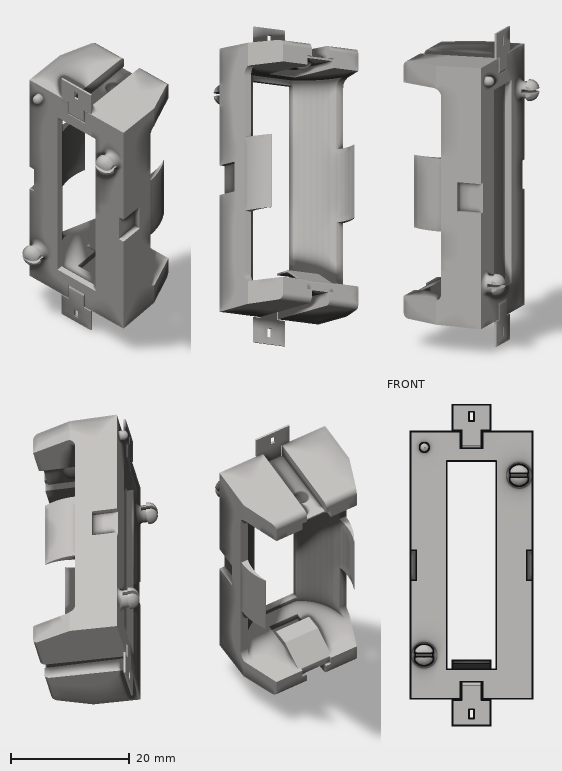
import cadquery as cq
import math

length = 54.2
width = 20.65
half_width = width / 2

depth = 14.9
rail_depth = 7.15
front_half_length = 22.6
back_half_length = 22.3
cell_half_length = 18.5
arm_root_radius = 1.5
arm_tip_radius = 1.0
taper_start = 8.15
taper_angle = 20.0

cell_axis = 9.4
trough_radius = 9.2
floor_depth = 1.1
window_half_width = 4.2
window_half_length = 17.55

clip_half_length = 6.3
clip_tip = 12.7
clip_overlap = 1.1
clip_radius = 10.2
clip_center = 7.3

side_notch_length = 5.1
side_notch_width = 1.05
side_notch_depth = 4.3

sheet = 0.3
contact_outer = 20.05
contact_inner = contact_outer - sheet
contact_end = 14.4
bend_radius = 0.55
channel_width = 3.75
stem_width = 3.35
tab_front = -0.1
tab_width = 6.45
tab_start = 22.75
tab_hole_width = 0.8
tab_hole_length = 1.5
tab_hole_center = 25.15
pocket_start = 3.7
pocket_width = 5.55

dimple_center = 9.7
dimple_radius = 1.3
dimple_depth = 1.1
dimple_lip_radius = 0.25

spring_crest_depth = 9.75
spring_crest = -16.25
spring_tail_depth = 6.9
spring_tail = -16.4
spring_root = -18.7

peg_x = 8.0
peg_z = 15.2
peg_neck_radius = 1.45
peg_root_radius = 0.7
peg_neck_end = 1.7
peg_head_radius = 1.85
peg_dome_radius = 1.45
peg_length = 3.35
peg_flat_width = 3.2
peg_slot_width = 0.65
peg_slot_start = 0.8

pin_x = -7.95
pin_z = 19.9
pin_radius = 0.8
pin_length = 1.45
pin_dome_radius = 0.75


def block(x_size, y_range, z_range):
    """Box centred on x = 0 that spans the given Y and Z ranges."""
    y_size = y_range[1] - y_range[0]
    z_size = z_range[1] - z_range[0]
    box = cq.Workplane("XY").box(x_size, y_size, z_size, centered=(True, False, False))
    return box.translate((0, y_range[0], z_range[0]))


def z_cylinder(radius, center_y, half_length):
    """Cylinder along Z, centred on z = 0."""
    return cq.Workplane("XY").center(0, center_y).circle(radius).extrude(half_length, both=True)


def both_ends(shape):
    """The shape at the upper end together with its mirror image at the lower end."""
    return shape.union(shape.mirror("XY"))


def make_body():
    side = (
        cq.Workplane("YZ")
        .moveTo(0, -front_half_length)
        .lineTo(depth, -back_half_length)
        .lineTo(depth, -cell_half_length)
        .lineTo(rail_depth, -cell_half_length)
        .lineTo(rail_depth, cell_half_length)
        .lineTo(depth, cell_half_length)
        .lineTo(depth, back_half_length)
        .lineTo(0, front_half_length)
        .close()
        .extrude(half_width, both=True)
    )
    margin = arm_root_radius / 2
    arm_roots = cq.selectors.BoxSelector(
        (-width, rail_depth - margin, -cell_half_length - margin),
        (width, rail_depth + margin, cell_half_length + margin),
    )
    side = side.edges("|X").edges(arm_roots).fillet(arm_root_radius)
    side = side.faces(">Y").edges("|X").edges(">Z or <Z").fillet(arm_tip_radius)

    back_half_width = half_width - (depth - taper_start) * math.tan(math.radians(taper_angle))
    plan = (
        cq.Workplane("XY")
        .moveTo(-half_width, 0)
        .lineTo(half_width, 0)
        .lineTo(half_width, taper_start)
        .lineTo(back_half_width, depth)
        .lineTo(-back_half_width, depth)
        .lineTo(-half_width, taper_start)
        .close()
        .extrude(front_half_length, both=True)
    )
    return side.intersect(plan)


def make_clips():
    """Crescent walls that carry on from the rails around the cell."""
    z_range = (-clip_half_length, clip_half_length)
    outer = z_cylinder(clip_radius, clip_center, clip_half_length)
    return outer.intersect(block(width, (rail_depth - clip_overlap, clip_tip), z_range))


def make_trough():
    trough = z_cylinder(trough_radius, cell_axis, cell_half_length)
    trough = trough.cut(block(width, (0, floor_depth), (-cell_half_length, cell_half_length)))
    z_range = (-window_half_length, window_half_length)
    return trough.union(block(2 * window_half_width, (0, cell_axis), z_range))


def make_side_notches():
    z_range = (-side_notch_length / 2, side_notch_length / 2)
    across = block(width, (0, side_notch_depth), z_range)
    core = block(width - 2 * side_notch_width, (0, side_notch_depth), z_range)
    return across.cut(core)


def make_contact_recess():
    """Outer channel, inner pocket, back gap and front notch around the upper contact."""
    channel = block(channel_width, (0, depth), (contact_outer, front_half_length))
    pocket = block(pocket_width, (pocket_start, depth), (cell_half_length, contact_inner))
    back_gap = block(pocket_width, (contact_end, depth), (cell_half_length, contact_outer))
    front_notch = block(channel_width, (0, tab_front + bend_radius), (contact_inner, contact_outer))
    return channel.union(pocket).union(back_gap).union(front_notch)


def make_tab():
    """Solder tab, its stem and the bend where the stem turns into the upper arm."""
    tab_back = tab_front + sheet
    tab = block(tab_width, (tab_front, tab_back), (tab_start, length / 2))
    half_hole = tab_hole_length / 2
    hole_range = (tab_hole_center - half_hole, tab_hole_center + half_hole)
    hole = block(tab_hole_width, (tab_front, tab_back), hole_range)
    stem = block(stem_width, (tab_front, tab_back), (contact_inner, tab_start))
    leg_range = (tab_front, tab_front + 2 * bend_radius)
    leg = block(stem_width, leg_range, (contact_inner, contact_outer))
    bend = stem.union(leg).edges("|X and <Y and <Z").fillet(bend_radius)
    inner_corner = cq.selectors.NearestToPointSelector((0, tab_back, contact_outer))
    bend = bend.edges("|X").edges(inner_corner).fillet(bend_radius - sheet)
    return tab.cut(hole).union(bend)


def make_spring():
    """Leaf that folds back from the lower contact, rises to a crest and drops to its tail."""
    fold_depth = contact_end - sheet / 2
    bends = [
        (fold_depth, -contact_outer + sheet / 2),
        (fold_depth, spring_root),
        (spring_crest_depth, spring_crest),
        (spring_tail_depth, spring_tail),
    ]
    leaf = cq.Workplane("XY")
    for (start_y, start_z), (end_y, end_z) in zip(bends, bends[1:]):
        rise = end_z - start_z
        run = end_y - start_y
        leg = (
            cq.Workplane("YZ")
            .center((start_y + end_y) / 2, (start_z + end_z) / 2)
            .slot2D(math.hypot(run, rise) + sheet, sheet, math.degrees(math.atan2(rise, run)))
            .extrude(tab_width / 2, both=True)
        )
        leaf = leaf.union(leg)
    return leaf


def press_dimple(holder):
    """Dish the upper contact towards the cell and round the mouth of the dish."""
    ball_radius = (dimple_radius**2 + dimple_depth**2) / (2 * dimple_depth)
    ball_z = contact_outer - dimple_depth + ball_radius
    ball = cq.Workplane("XY").sphere(ball_radius).translate((0, dimple_center, ball_z))
    shell = cq.Workplane("XY").sphere(ball_radius + sheet).translate((0, dimple_center, ball_z))
    bump = shell.intersect(block(tab_width, (0, depth), (cell_half_length, contact_outer)))
    dished = holder.union(bump).cut(ball)

    reach = dimple_radius + dimple_lip_radius
    mouth = cq.selectors.BoxSelector(
        (-reach, dimple_center - reach, contact_outer - sheet / 2),
        (reach, dimple_center + reach, contact_outer + sheet / 2),
        boundingbox=True,
    )
    return dished.edges(mouth).fillet(dimple_lip_radius)


def make_peg(x, z):
    """Split peg with a flared root, a neck and a domed head, pointing along -Y."""
    tip_radius = peg_head_radius - peg_dome_radius
    dome_start = peg_length - peg_dome_radius
    bulge = peg_dome_radius * math.sqrt(0.5)
    root_bulge = peg_root_radius * (1 - math.sqrt(0.5))
    peg = (
        cq.Workplane("XY")
        .moveTo(0, floor_depth)
        .lineTo(peg_neck_radius, floor_depth)
        .lineTo(peg_neck_radius, 0)
        .lineTo(peg_neck_radius + peg_root_radius, 0)
        .threePointArc(
            (peg_neck_radius + root_bulge, -root_bulge),
            (peg_neck_radius, -peg_root_radius),
        )
        .lineTo(peg_neck_radius, -peg_neck_end)
        .lineTo(peg_head_radius, -peg_neck_end)
        .lineTo(peg_head_radius, -dome_start)
        .threePointArc((tip_radius + bulge, -dome_start - bulge), (tip_radius, -peg_length))
        .lineTo(0, -peg_length)
        .close()
        .revolve(360, (0, 0), (0, 1))
    )
    head_z_range = (-peg_head_radius, peg_head_radius)
    head_y_range = (-peg_length, -peg_neck_end)
    head_space = block(2 * peg_head_radius, head_y_range, head_z_range)
    trimmings = head_space.cut(block(peg_flat_width, head_y_range, head_z_range))
    slot_range = (-peg_slot_width / 2, peg_slot_width / 2)
    slot = block(2 * peg_head_radius, (-peg_length, -peg_slot_start), slot_range)
    return peg.cut(trimmings).cut(slot).translate((x, 0, z))


def make_pin():
    pin = cq.Workplane("XZ").center(pin_x, pin_z).circle(pin_radius).extrude(pin_length)
    return pin.faces("<Y").edges().fillet(pin_dome_radius)


holder = make_body().union(make_clips()).cut(make_trough()).cut(make_side_notches())
holder = holder.cut(both_ends(make_contact_recess())).union(both_ends(make_tab()))
holder = press_dimple(holder).union(make_spring())
holder = holder.union(make_peg(peg_x, peg_z)).union(make_peg(-peg_x, -peg_z))
result = holder.union(make_pin())